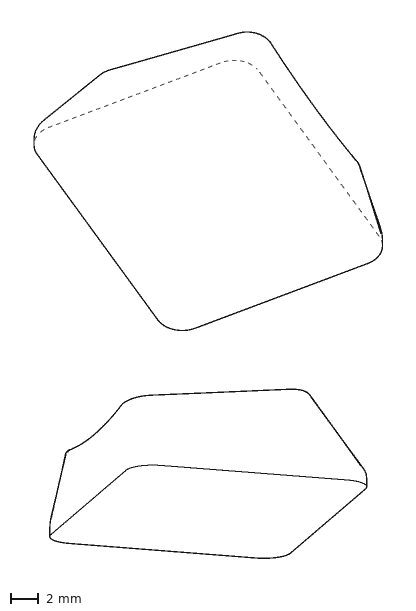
import cadquery as cq
import math

base_width = 22.92
base_depth = 18.15
base_corner_radius = 2.02
skirt_height = 0.65

blend_top = 1.38
blend_sections = 4

crown_width = 16.23
crown_depth = 14.12
crown_corner_radius = 1.83
crown_offset_y = 1.65
crown_height = 7.05
crown_tilt = 7.0

dish_radius = 45.85
dish_depth = 0.96
dish_length = 2 * base_depth
rim_radius = 0.44

tilt = math.radians(crown_tilt)
crown_plane = cq.Plane(
    origin=(0, crown_offset_y, crown_height),
    xDir=(1, 0, 0),
    normal=(0, math.sin(tilt), math.cos(tilt)),
)

wall_foot_height = (skirt_height + blend_top) / 2
crown_front = crown_plane.toWorldCoords((0, -crown_depth / 2, 0))
crown_back = crown_plane.toWorldCoords((0, crown_depth / 2, 0))
side_lean = (base_width - crown_width) / 2 / (crown_height - wall_foot_height)
front_lean = (crown_front.y + base_depth / 2) / (crown_front.z - wall_foot_height)
back_lean = (base_depth / 2 - crown_back.y) / (crown_back.z - wall_foot_height)


def rounded_section(plane, width, depth, radius):
    """Closed rounded-rectangle wire centred on a plane."""
    block = cq.Workplane("XY").rect(width, depth).extrude(0.23).edges("|Z").fillet(radius)
    return block.faces("<Z").wires().val().moved(plane.location)


def blend_section(height):
    """Section of the blend, whose walls curve in from upright to their full lean."""
    rise = height - skirt_height
    inset_per_lean = rise**2 / (2 * (blend_top - skirt_height))
    front = -base_depth / 2 + front_lean * inset_per_lean
    back = base_depth / 2 - back_lean * inset_per_lean
    width = base_width - 2 * side_lean * inset_per_lean
    plane = cq.Plane((0, (front + back) / 2, height))
    return rounded_section(plane, width, back - front, base_corner_radius)


def make_body():
    """Skirt, curved blend and tapering walls up to the tilted crown."""
    foot = rounded_section(cq.Plane.XY(), base_width, base_depth, base_corner_radius)
    crown = rounded_section(crown_plane, crown_width, crown_depth, crown_corner_radius)
    step = (blend_top - skirt_height) / (blend_sections - 1)
    bands = [blend_section(skirt_height + i * step) for i in range(blend_sections)]
    skirt = cq.Solid.makeLoft([foot, bands[0]], True)
    blend = cq.Solid.makeLoft(bands)
    walls = cq.Solid.makeLoft([bands[-1], crown], True)
    return cq.Workplane(skirt).union(cq.Workplane(blend)).union(cq.Workplane(walls))


def make_dish():
    """Cylinder that hollows the crown to the dish depth along its middle."""
    axis_height = dish_radius - dish_depth
    start = crown_plane.toWorldCoords((0, -dish_length / 2, axis_height))
    return cq.Workplane(cq.Solid.makeCylinder(dish_radius, dish_length, start, crown_plane.yDir))


def round_rim(body):
    """Soften the edge all around the dished top face."""
    top_face = cq.selectors.DirectionMinMaxSelector(crown_plane.zDir, True)
    return body.faces(top_face).edges().fillet(rim_radius)


cap = make_body().cut(make_dish())
result = round_rim(cap)